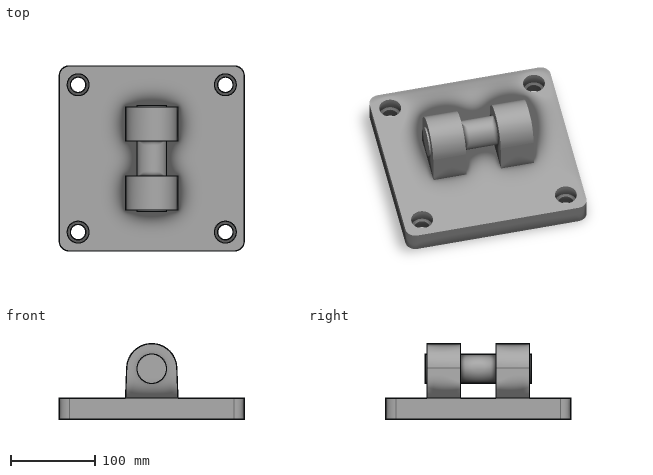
import cadquery as cq
import math

plate_side = 220.0
plate_thickness = 25.0
corner_radius = 12.0

hole_spacing = 175.0
hole_diameter = 18.0
counterbore_diameter = 26.0
counterbore_depth = 14.0

total_height = 90.0
lug_radius = 30.0
lug_base_width = 62.5
lug_thickness = 40.0
lug_gap = 42.0
pin_diameter = 35.0
pin_length = 126.0
pin_height = total_height - lug_radius


def make_plate():
    """Square plate with rounded corners and a counterbored hole near each corner."""
    plate = (
        cq.Workplane("XY")
        .rect(plate_side, plate_side)
        .extrude(plate_thickness)
        .edges("|Z")
        .fillet(corner_radius)
    )
    return (
        plate.faces(">Z")
        .workplane()
        .rect(hole_spacing, hole_spacing, forConstruction=True)
        .vertices()
        .cboreHole(hole_diameter, counterbore_diameter, counterbore_depth)
    )


def extrude_along_y(profile, y_start, length):
    """Extrude an XZ profile toward +Y, starting at y_start."""
    return profile.extrude(-length).translate((0, y_start, 0))


def make_lug(y_start):
    """Lug with slightly tapered sides, tangent to its round top."""
    half_base = lug_base_width / 2
    rise = pin_height - plate_thickness
    base_angle = math.atan2(-rise, half_base)
    tangent_angle = base_angle + math.acos(lug_radius / math.hypot(half_base, rise))
    tangent_x = lug_radius * math.cos(tangent_angle)
    tangent_z = pin_height + lug_radius * math.sin(tangent_angle)
    profile = (
        cq.Workplane("XZ")
        .moveTo(-half_base, plate_thickness)
        .lineTo(half_base, plate_thickness)
        .lineTo(tangent_x, tangent_z)
        .threePointArc((0, total_height), (-tangent_x, tangent_z))
        .close()
    )
    return extrude_along_y(profile, y_start, lug_thickness)


def make_pin():
    """Round pin through both lugs, standing slightly proud of their outer faces."""
    profile = cq.Workplane("XZ").center(0, pin_height).circle(pin_diameter / 2)
    return extrude_along_y(profile, -pin_length / 2, pin_length)


result = make_plate()
for lug_start in (lug_gap / 2, -lug_gap / 2 - lug_thickness):
    result = result.union(make_lug(lug_start))
result = result.union(make_pin())